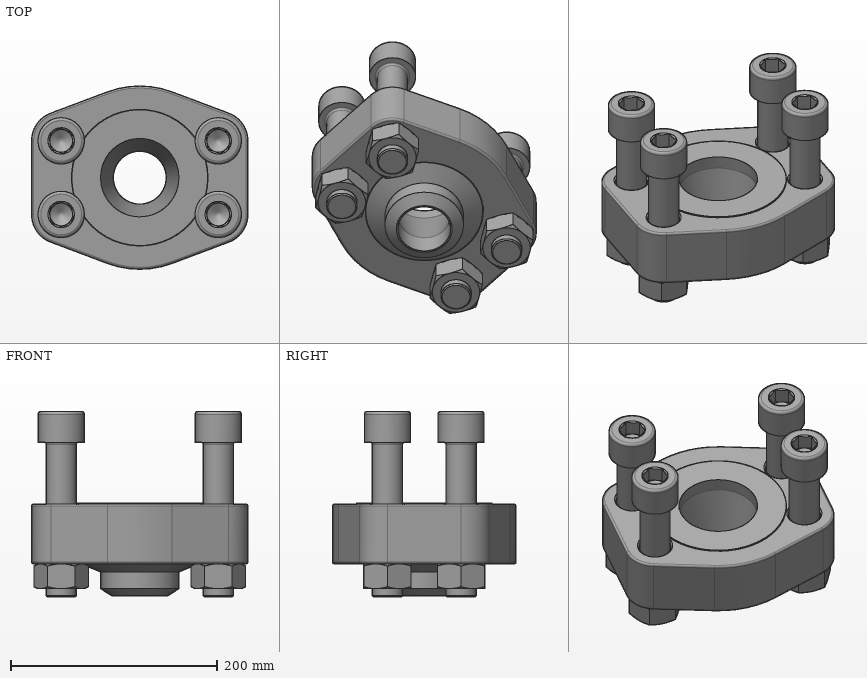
import cadquery as cq
import math

bolt_x = 76.2
bolt_y = 35.7
bolt_places = [(sx * bolt_x, sy * bolt_y) for sx in (-1, 1) for sy in (-1, 1)]

flange_bottom = 32.0
flange_top = 90.0
seat_z = 60.0

half_length = 105.0
corner_radius = half_length - bolt_x
crown_radius = 89.0
flange_edge_round = 2.0
bolt_hole_diameter = 31.0
bolt_hole_chamfer = 1.5
collar_bore_diameter = 132.5
body_bore_diameter = 114.5

neck_bottom = 1.0
neck_top = 91.0
collar_diameter = 131.7
body_diameter = 113.35
pipe_diameter = 76.1
pipe_bore_diameter = 51.1
mouth_diameter = 76.0
mouth_depth = 13.0
weld_land = 1.5
weld_bevel_height = 7.0
pipe_top_z = 24.2

bolt_length = 150.0
shank_diameter = 29.52
head_diameter = 45.0
head_height = 30.0
head_round = 2.8
neck_fillet = 2.0
tip_diameter = 27.0
tip_chamfer_height = 1.3
socket_width = 22.0
socket_depth = 15.5
socket_angle = 39.0
socket_mouth_diameter = 25.6
drill_point_half_angle = 60.0

nut_width = 46.0
nut_height = 24.0
nut_face_diameter = 46.0
nut_chamfer_angle = 30.0


def hexagon_corners(width):
    """Diameter through the corners of a hexagon of the given width across flats."""
    return width / math.cos(math.pi / 6)


def tangent_normal():
    """Unit normal of the slanted side that touches the crown arc and a corner arc."""
    centre_angle = math.atan2(bolt_y, bolt_x)
    spread = math.acos((crown_radius - corner_radius) / math.hypot(bolt_x, bolt_y))
    return math.cos(centre_angle + spread), math.sin(centre_angle + spread)


def make_flange():
    nx, ny = tangent_normal()
    crown = (crown_radius * nx, crown_radius * ny)
    corner_end = (bolt_x + corner_radius * nx, bolt_y + corner_radius * ny)
    middle_angle = math.atan2(ny, nx) / 2
    corner_middle = (
        bolt_x + corner_radius * math.cos(middle_angle),
        bolt_y + corner_radius * math.sin(middle_angle),
    )
    flange = (
        cq.Workplane("XY", origin=(0, 0, flange_bottom))
        .moveTo(half_length, -bolt_y)
        .lineTo(half_length, bolt_y)
        .threePointArc(corner_middle, corner_end)
        .lineTo(*crown)
        .threePointArc((0, crown_radius), (-crown[0], crown[1]))
        .lineTo(-corner_end[0], corner_end[1])
        .threePointArc((-corner_middle[0], corner_middle[1]), (-half_length, bolt_y))
        .lineTo(-half_length, -bolt_y)
        .threePointArc((-corner_middle[0], -corner_middle[1]), (-corner_end[0], -corner_end[1]))
        .lineTo(-crown[0], -crown[1])
        .threePointArc((0, -crown_radius), (crown[0], -crown[1]))
        .lineTo(corner_end[0], -corner_end[1])
        .threePointArc((corner_middle[0], -corner_middle[1]), (half_length, -bolt_y))
        .close()
        .extrude(flange_top - flange_bottom)
        .faces("<Z or >Z")
        .edges()
        .fillet(flange_edge_round)
    )
    bolt_holes = (
        cq.Workplane("XY", origin=(0, 0, flange_bottom))
        .pushPoints(bolt_places)
        .circle(bolt_hole_diameter / 2)
        .extrude(flange_top - flange_bottom)
    )
    countersink = cq.Solid.makeCone(
        bolt_hole_diameter / 2,
        bolt_hole_diameter / 2 + bolt_hole_chamfer,
        bolt_hole_chamfer,
        pnt=cq.Vector(0, 0, flange_top - bolt_hole_chamfer),
    )
    flange = flange.cut(bolt_holes)
    for x, y in bolt_places:
        flange = flange.cut(cq.Workplane(countersink.translate(cq.Vector(x, y, 0))))
    body_bore = (
        cq.Workplane("XY", origin=(0, 0, flange_bottom))
        .circle(body_bore_diameter / 2)
        .extrude(seat_z - flange_bottom)
    )
    collar_bore = (
        cq.Workplane("XY", origin=(0, 0, seat_z))
        .circle(collar_bore_diameter / 2)
        .extrude(flange_top - seat_z)
    )
    return flange.cut(body_bore).cut(collar_bore)


def make_weld_neck():
    return (
        cq.Workplane("XZ")
        .moveTo(pipe_bore_diameter / 2, neck_bottom)
        .lineTo(pipe_bore_diameter / 2 + weld_land, neck_bottom)
        .lineTo(pipe_diameter / 2, neck_bottom + weld_bevel_height)
        .lineTo(pipe_diameter / 2, pipe_top_z)
        .lineTo(body_diameter / 2, flange_bottom)
        .lineTo(body_diameter / 2, seat_z)
        .lineTo(collar_diameter / 2, seat_z)
        .lineTo(collar_diameter / 2, neck_top)
        .lineTo(mouth_diameter / 2, neck_top)
        .lineTo(mouth_diameter / 2, neck_top - mouth_depth)
        .lineTo(pipe_bore_diameter / 2, pipe_top_z)
        .close()
        .revolve(360, (0, 0, 0), (0, 1, 0))
    )


def make_bolt():
    """Socket head cap screw on the Z axis, tip at the origin."""
    shank_radius = shank_diameter / 2
    head_radius = head_diameter / 2
    bolt_top = bolt_length + head_height
    arc_middle_share = 1 - math.sqrt(0.5)
    fillet_middle = neck_fillet * arc_middle_share
    round_middle = head_round * arc_middle_share
    bolt = (
        cq.Workplane("XZ")
        .lineTo(tip_diameter / 2, 0)
        .lineTo(shank_radius, tip_chamfer_height)
        .lineTo(shank_radius, bolt_length - neck_fillet)
        .threePointArc(
            (shank_radius + fillet_middle, bolt_length - fillet_middle),
            (shank_radius + neck_fillet, bolt_length),
        )
        .lineTo(head_radius, bolt_length)
        .lineTo(head_radius, bolt_top - head_round)
        .threePointArc(
            (head_radius - round_middle, bolt_top - round_middle),
            (head_radius - head_round, bolt_top),
        )
        .lineTo(0, bolt_top)
        .close()
        .revolve(360, (0, 0, 0), (0, 1, 0))
    )
    socket = (
        cq.Workplane("XY", origin=(0, 0, bolt_top - socket_depth))
        .transformed(rotate=(0, 0, socket_angle))
        .polygon(6, hexagon_corners(socket_width))
        .extrude(socket_depth)
    )
    slope = math.tan(math.radians(drill_point_half_angle))
    mouth_radius = socket_mouth_diameter / 2
    mouth_cone = cq.Solid.makeCone(
        0, mouth_radius, mouth_radius / slope, pnt=cq.Vector(0, 0, bolt_top - mouth_radius / slope)
    )
    point_depth = socket_width / 2 / slope
    drill_point = cq.Solid.makeCone(
        0, socket_width / 2, point_depth, pnt=cq.Vector(0, 0, bolt_top - socket_depth - point_depth)
    )
    return bolt.cut(socket).cut(cq.Workplane(mouth_cone)).cut(cq.Workplane(drill_point))


def make_nut():
    """Hexagon nut on the Z axis with both faces chamfered, lying against the flange."""
    corner_distance = hexagon_corners(nut_width) / 2
    face_radius = nut_face_diameter / 2
    chamfer_height = (corner_distance - face_radius) * math.tan(math.radians(nut_chamfer_angle))
    nut_bottom = flange_bottom - nut_height
    hexagon = (
        cq.Workplane("XY", origin=(0, 0, nut_bottom))
        .polygon(6, 2 * corner_distance)
        .circle(shank_diameter / 2)
        .extrude(nut_height)
    )
    chamfered_blank = (
        cq.Workplane("XZ")
        .moveTo(0, nut_bottom)
        .lineTo(face_radius, nut_bottom)
        .lineTo(corner_distance, nut_bottom + chamfer_height)
        .lineTo(corner_distance, flange_bottom - chamfer_height)
        .lineTo(face_radius, flange_bottom)
        .lineTo(0, flange_bottom)
        .close()
        .revolve(360, (0, 0, 0), (0, 1, 0))
    )
    return hexagon.intersect(chamfered_blank)


flange = make_flange()
weld_neck = make_weld_neck()
bolts = [make_bolt().translate((x, y, 0)) for x, y in bolt_places]
nuts = [make_nut().translate((x, y, 0)) for x, y in bolt_places]

result = cq.Compound.makeCompound(
    [flange.val(), weld_neck.val(), *[bolt.val() for bolt in bolts], *[nut.val() for nut in nuts]]
)